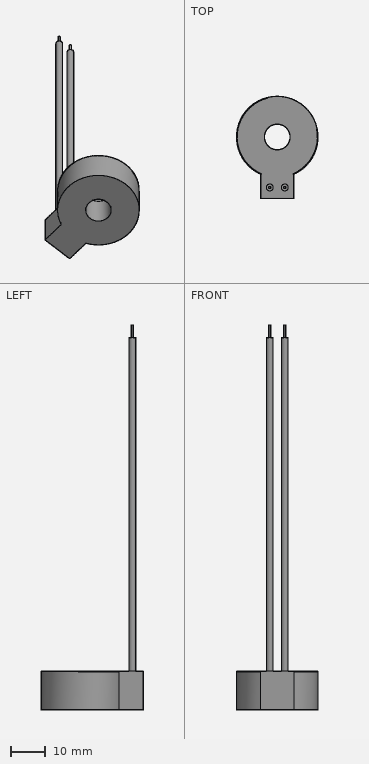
import cadquery as cq

ring_radius = 11.8
ring_bore_diameter = 7.3
body_height = 11.2
top_edge_radius = 0.2

block_width = 9.5
block_front_y = -17.8
block_corner_radius = 0.17

wire_pitch = 4.3
wire_y = -14.5
wire_diameter = 2.0
core_diameter = 0.7
core_length = 3.7
overall_height = 111.0


def make_body():
    """Bored ring joined to its terminal block, with every upper edge rounded."""
    ring = cq.Workplane("XY").circle(ring_radius).extrude(body_height)
    block = (
        cq.Workplane("XY")
        .center(0, block_front_y / 2)
        .rect(block_width, -block_front_y)
        .extrude(body_height)
        .edges("|Z and <Y")
        .fillet(block_corner_radius)
    )
    bore = cq.Workplane("XY").circle(ring_bore_diameter / 2).extrude(body_height)
    return ring.union(block).cut(bore).faces(">Z").edges().fillet(top_edge_radius)


def make_wire(x):
    """Insulated wire with a bare core showing at its upper end."""
    insulation_length = overall_height - core_length - body_height
    return (
        cq.Workplane("XY", origin=(x, wire_y, body_height))
        .circle(wire_diameter / 2)
        .extrude(insulation_length)
        .faces(">Z")
        .workplane()
        .circle(core_diameter / 2)
        .extrude(core_length)
    )


result = make_body()
for wire_x in (-wire_pitch / 2, wire_pitch / 2):
    result = result.union(make_wire(wire_x))